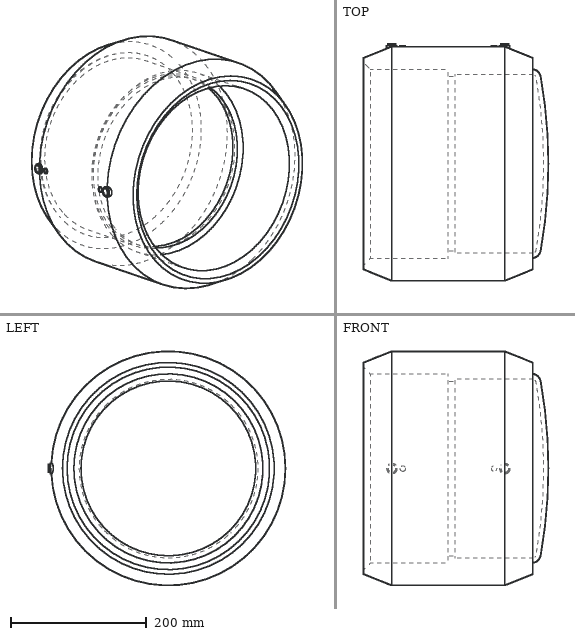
import cadquery as cq
import math

barrel_length = 250.0
barrel_radius = 173.0
end_radius = 156.3
taper_length = barrel_length / 6

bore_radius = 139.5
mouth_chamfer = 10.0
rib_x = 124.0
rib_width = 11.0
rib_radius = 129.0
rear_radius = 132.0

cap_radius = 140.0
cap_edge_fillet = 14.5
cap_edge_fillet_x = 247.5
cap_inner_fillet = 5.0
cap_wall = 7.5
dome_top_x = 273.07

fitting_x = taper_length
fitting_seat_y = 165.0
base_diameter = 15.5
base_top_y = barrel_radius + 1.5
neck_diameter = 11.0
head_diameter = 12.0
head_thickness = 0.6
head_top_y = barrel_radius + 4.0
stud_diameter = 8.0
stud_spacing = 16.0
stud_top_y = barrel_radius + 0.9


def polar_point(center, radius, angle):
    """Point on a circle, with the angle measured from the X axis."""
    return (
        center[0] + radius * math.cos(angle),
        center[1] + radius * math.sin(angle),
    )


def make_drum():
    """Revolve the barrel wall and its domed cap about the X axis."""
    outer_fillet_center = (cap_edge_fillet_x, cap_radius - cap_edge_fillet)
    dome_drop = dome_top_x - cap_edge_fillet_x
    dome_radius = (outer_fillet_center[1] ** 2 + dome_drop**2 - cap_edge_fillet**2) / (
        2 * (dome_drop - cap_edge_fillet)
    )
    dome_center = (dome_top_x - dome_radius, 0)
    outer_rim_angle = math.asin(outer_fillet_center[1] / (dome_radius - cap_edge_fillet))

    inner_dome_radius = dome_radius - cap_wall
    inner_offset_radius = inner_dome_radius - cap_inner_fillet
    inner_rim_angle = math.asin((rear_radius - cap_inner_fillet) / inner_offset_radius)
    inner_fillet_center = polar_point(dome_center, inner_offset_radius, inner_rim_angle)

    emerge_angle = math.acos((barrel_length - cap_edge_fillet_x) / cap_edge_fillet)
    outer_middle_angle = (emerge_angle + outer_rim_angle) / 2
    inner_middle_angle = (math.pi / 2 + inner_rim_angle) / 2
    rib_end_x = rib_x + rib_width

    profile = (
        cq.Workplane("XY")
        .moveTo(0, bore_radius + mouth_chamfer)
        .lineTo(0, end_radius)
        .lineTo(taper_length, barrel_radius)
        .lineTo(barrel_length - taper_length, barrel_radius)
        .lineTo(barrel_length, end_radius)
        .lineTo(*polar_point(outer_fillet_center, cap_edge_fillet, emerge_angle))
        .threePointArc(
            polar_point(outer_fillet_center, cap_edge_fillet, outer_middle_angle),
            polar_point(outer_fillet_center, cap_edge_fillet, outer_rim_angle),
        )
        .threePointArc(polar_point(dome_center, dome_radius, outer_rim_angle / 2), (dome_top_x, 0))
        .lineTo(dome_top_x - cap_wall, 0)
        .threePointArc(
            polar_point(dome_center, inner_dome_radius, inner_rim_angle / 2),
            polar_point(dome_center, inner_dome_radius, inner_rim_angle),
        )
        .threePointArc(
            polar_point(inner_fillet_center, cap_inner_fillet, inner_middle_angle),
            (inner_fillet_center[0], rear_radius),
        )
        .lineTo(rib_end_x, rear_radius)
        .lineTo(rib_end_x, rib_radius)
        .lineTo(rib_x, rib_radius)
        .lineTo(rib_x, bore_radius)
        .lineTo(mouth_chamfer, bore_radius)
        .close()
    )
    return profile.revolve(360, (0, 0, 0), (1, 0, 0))


def disc(x, bottom_y, top_y, diameter):
    """Upright disc along Y, centred at the given x on the barrel's crest line."""
    axis = cq.Vector(0, 1, 0)
    return cq.Workplane(
        cq.Solid.makeCylinder(diameter / 2, top_y - bottom_y, cq.Vector(x, bottom_y, 0), axis)
    )


def make_fitting(x, inward):
    """Headed fitting on a round base, with a small stud beside it toward the barrel's middle."""
    base = disc(x, fitting_seat_y, base_top_y, base_diameter)
    neck = disc(x, fitting_seat_y, head_top_y, neck_diameter)
    head = disc(x, head_top_y - head_thickness, head_top_y, head_diameter)
    stud = disc(x + inward * stud_spacing, fitting_seat_y, stud_top_y, stud_diameter)
    return base.union(neck).union(head).union(stud)


result = make_drum()
for x, inward in ((fitting_x, 1), (barrel_length - fitting_x, -1)):
    result = result.union(make_fitting(x, inward))